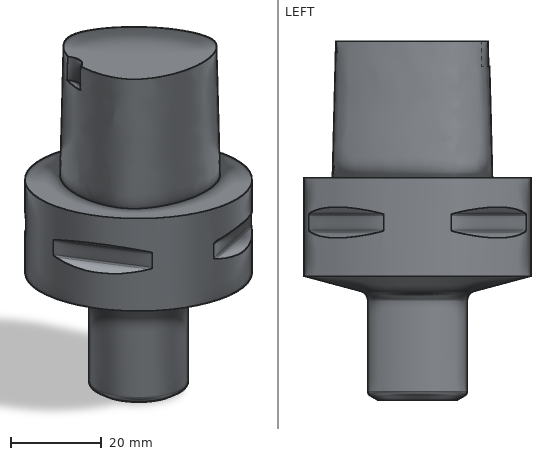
import cadquery as cq
import math

total_height = 79.0
flange_top = 49.0
flange_bottom = 27.3

flange_radius = 50.0 / 2
shank_radius = 22.0 / 2
cone_angle = math.radians(15)
neck_fillet = 1.9
tip_radius = 8.6
tip_chamfer_height = 1.35
tip_blend_radius = 1.2
selection_margin = 0.1

lobe_mean_radius = 17.6
lobe_height = 1.1
taper_ratio = 1 / 20
lobe_points = 36

notch_radius = 4.75
notch_depth = 5.5
notch_inner_y = -14.1

groove_count = 4
groove_middle = 39.1
groove_floor_distance = 22.1
groove_floor_width = 3.7
groove_mouth_width = 6.8
groove_corner_fillet = 0.5


def edges_at_height(height):
    """Selector for edges centred in a thin slab at the given height."""
    return cq.selectors.BoxSelector(
        (-flange_radius, -flange_radius, height - selection_margin),
        (flange_radius, flange_radius, height + selection_margin),
    )


def turned_body():
    """Flange, cone and lower shank as one revolved profile."""
    cone_foot = flange_bottom - (flange_radius - shank_radius) * math.tan(cone_angle)
    profile = (
        cq.Workplane("XZ")
        .moveTo(0, 0)
        .lineTo(tip_radius, 0)
        .lineTo(shank_radius, tip_chamfer_height)
        .lineTo(shank_radius, cone_foot)
        .lineTo(flange_radius, flange_bottom)
        .lineTo(flange_radius, flange_top)
        .lineTo(0, flange_top)
        .close()
    )
    body = profile.revolve(360, (0, 0, 0), (0, 1, 0))
    body = body.edges(edges_at_height(cone_foot)).fillet(neck_fillet)
    return body.edges(edges_at_height(tip_chamfer_height)).fillet(tip_blend_radius)


def lobe_outline(mean_radius):
    """Constant-width three-lobed curve with one lobe toward +Y."""
    points = []
    for i in range(lobe_points):
        t = 2 * math.pi * i / lobe_points
        y = mean_radius * math.cos(t) + lobe_height * (2 * math.cos(2 * t) - math.cos(4 * t))
        x = mean_radius * math.sin(t) - lobe_height * (2 * math.sin(2 * t) + math.sin(4 * t))
        points.append((x, y))
    return points


def lobed_shank():
    height = total_height - flange_top
    top_radius = lobe_mean_radius - height * taper_ratio / 2
    return (
        cq.Workplane("XY", origin=(0, 0, flange_top))
        .spline(lobe_outline(lobe_mean_radius), periodic=True)
        .close()
        .workplane(offset=height)
        .spline(lobe_outline(top_radius), periodic=True)
        .close()
        .loft(ruled=True)
    )


def notch():
    return (
        cq.Workplane("XY", origin=(0, notch_inner_y - notch_radius, total_height - notch_depth))
        .circle(notch_radius)
        .extrude(notch_depth)
    )


def groove(angle):
    """Straight groove with flared sides, cut across the flange rim."""
    half_floor = groove_floor_width / 2
    half_mouth = groove_mouth_width / 2
    section = [
        (groove_floor_distance, -half_floor),
        (flange_radius, -half_mouth),
        (flange_radius, half_mouth),
        (groove_floor_distance, half_floor),
    ]
    return (
        cq.Workplane("XZ", origin=(0, 0, groove_middle))
        .polyline(section)
        .close()
        .extrude(flange_radius, both=True)
        .faces("<X")
        .edges("|Y")
        .fillet(groove_corner_fillet)
        .rotate((0, 0, 0), (0, 0, 1), angle)
    )


result = turned_body().union(lobed_shank()).cut(notch())
for i in range(groove_count):
    result = result.cut(groove((i + 0.5) * 360 / groove_count))